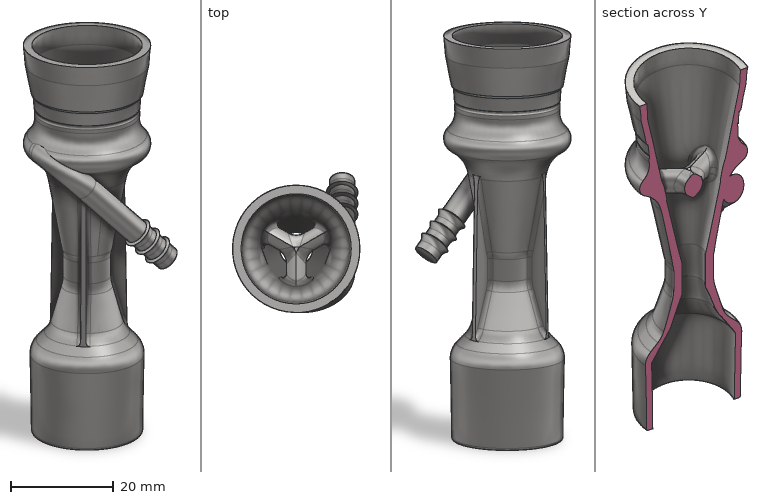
import cadquery as cq
import math

height = 80.98

socket_bottom_radius = 10.93
socket_top_radius = 11.2
socket_top_z = 16.3
socket_edge_fillet = 0.5
shoulder_radius = 4.2
shoulder_angle = math.radians(45)

neck_bottom_radius, neck_bottom_z = 8.36, 20.95
lower_cone_bottom_radius, lower_cone_bottom_z = 7.1, 23.17
lower_cone_top_radius, lower_cone_top_z = 5.0, 30.5
throat_radius = 4.7
throat_bottom_z, throat_top_z = 32.67, 37.06
upper_cone_bottom_radius, upper_cone_bottom_z = 4.95, 38.45
upper_cone_top_radius, upper_cone_top_z = 7.7, 53.4

collar_center_radius, collar_center_z = 10.0, 60.4
tube_radius = 2.5
collar_lower_angle = math.radians(-57)
collar_upper_angle = math.radians(46)

neck_radius, neck_top_z = 10.35, 66.3
groove_start_z, groove_bottom_z, groove_top_z = 67.1, 67.5, 67.9
groove_depth = 0.12
band_bottom_radius = 10.4
band_top_radius, band_top_z = 10.6, 70.6
cup_bottom_radius, cup_bottom_z = 11.0, 71.1
cup_middle_radius = 12.15
cup_top_radius = 12.5
mouth_depth = 3.93

mouth_top_radius, mouth_bottom_radius = 10.8, 10.6
wall = 1.5
bore_radius = throat_radius - wall
bore_top_z = upper_cone_bottom_z
bore_bottom_z = lower_cone_top_z
diffuser_end_radius = lower_cone_bottom_radius - wall
socket_bore_depth = socket_top_z
socket_bore_bottom_radius = socket_bottom_radius - wall
socket_bore_top_radius = socket_top_radius - wall

tolerance = 0.01

rib_count = 3
rib_thickness = 1.0
rib_top_radius, rib_top_z = 7.8, 55.0
rib_bottom_radius, rib_bottom_z = 8.45, 20.3
rib_first_angle = 90
rib_fillet = 0.9
plate_reach = 16.0

spoke_count = 3
spoke_half_width, spoke_half_height = 1.9, 3.0
spoke_z = 56.5
spoke_length = 7.7
spoke_first_angle = -90
spoke_junction_fillet = 3.2
spoke_root_fillet = 1.0

tube_offset_x = 9.0
tube_lead = 1.1
tube_slope = math.radians(45)
tube_tip_y = 13.19
barb_radius = 3.1
barb_count = 3
barb_pitch = 3.02
barb_first_peak = 3.05
barb_ramp_length = 1.45
barb_back_length = 0.3


def on_collar(angle):
    """Point of the collar's round section at an angle above its outward direction."""
    return (
        collar_center_radius + tube_radius * math.cos(angle),
        collar_center_z + tube_radius * math.sin(angle),
    )


def make_body():
    """Solid outside shape, turned about Z."""
    shoulder_center = socket_top_radius - shoulder_radius
    shoulder_middle = shoulder_angle / 2
    groove_radius = neck_radius - groove_depth
    collar_bottom = on_collar(collar_lower_angle)
    collar_top = on_collar(collar_upper_angle)

    profile = (
        cq.Workplane("XZ")
        .moveTo(0, 0)
        .lineTo(socket_bottom_radius - socket_edge_fillet, 0)
        .radiusArc((socket_bottom_radius, socket_edge_fillet), -socket_edge_fillet)
        .lineTo(socket_top_radius, socket_top_z)
        .threePointArc(
            (
                shoulder_center + shoulder_radius * math.cos(shoulder_middle),
                socket_top_z + shoulder_radius * math.sin(shoulder_middle),
            ),
            (
                shoulder_center + shoulder_radius * math.cos(shoulder_angle),
                socket_top_z + shoulder_radius * math.sin(shoulder_angle),
            ),
        )
        .lineTo(neck_bottom_radius, neck_bottom_z)
        .tangentArcPoint((lower_cone_bottom_radius, lower_cone_bottom_z), relative=False)
        .lineTo(lower_cone_top_radius, lower_cone_top_z)
        .tangentArcPoint((throat_radius, throat_bottom_z), relative=False)
        .lineTo(throat_radius, throat_top_z)
        .tangentArcPoint((upper_cone_bottom_radius, upper_cone_bottom_z), relative=False)
        .lineTo(upper_cone_top_radius, upper_cone_top_z)
        .tangentArcPoint(collar_bottom, relative=False)
        .threePointArc(on_collar(0), collar_top)
        .tangentArcPoint((neck_radius, neck_top_z), relative=False)
        .lineTo(neck_radius, groove_start_z)
        .lineTo(groove_radius, groove_bottom_z)
        .lineTo(groove_radius, groove_top_z)
        .lineTo(band_bottom_radius, groove_top_z)
        .lineTo(band_top_radius, band_top_z)
        .lineTo(cup_bottom_radius, cup_bottom_z)
        .lineTo(cup_middle_radius, height - mouth_depth)
        .lineTo(cup_top_radius, height)
        .lineTo(0, height)
        .close()
    )
    return profile.revolve(360, (0, 0, 0), (0, 1, 0))


def is_rib_root(edge):
    """True for an edge where the side of a plate meets the turned waist."""
    middle = edge.positionAt(0.5)
    if math.hypot(middle.x, middle.y) > collar_center_radius:
        return False
    if edge.BoundingBox().zlen < tolerance:
        return False
    for index in range(rib_count):
        angle = math.radians(rib_first_angle + index * 360 / rib_count)
        offset = abs(middle.y * math.cos(angle) - middle.x * math.sin(angle))
        outward = middle.x * math.cos(angle) + middle.y * math.sin(angle)
        if outward > 0 and abs(offset - rib_thickness / 2) < tolerance:
            return True
    return False


def make_ribs():
    """Thin plates standing radially on the waist, blended into it at both sides.

    Tall plates are blended first and then trimmed to the sloping rib edge.
    """
    waist_zone = (
        cq.Workplane("XY", origin=(0, 0, rib_bottom_z))
        .circle(plate_reach)
        .extrude(rib_top_z - rib_bottom_z)
    )
    waist = make_body().intersect(waist_zone)
    plate = (
        cq.Workplane("XY", origin=(0, 0, rib_bottom_z))
        .rect(plate_reach, rib_thickness, centered=(False, True))
        .extrude(rib_top_z - rib_bottom_z)
    )
    for index in range(rib_count):
        angle = rib_first_angle + index * 360 / rib_count
        waist = waist.union(plate.rotate((0, 0, 0), (0, 0, 1), angle))

    roots = [edge for edge in waist.edges().vals() if is_rib_root(edge)]
    blended = waist.newObject(roots).fillet(rib_fillet)
    rib_limit = (
        cq.Workplane("XZ")
        .moveTo(0, rib_bottom_z)
        .lineTo(rib_bottom_radius, rib_bottom_z)
        .lineTo(rib_top_radius, rib_top_z)
        .lineTo(0, rib_top_z)
        .close()
        .revolve(360, (0, 0, 0), (0, 1, 0))
    )
    return blended.intersect(rib_limit)


def make_tube():
    """Side tube: straight lead, bend, then a sloping run ending in a hose barb."""
    bend_radius = tube_offset_x - tube_lead
    start_y = -collar_center_radius
    run_length = (tube_tip_y - start_y) / math.cos(tube_slope)

    slope_plane = cq.Plane(
        origin=(0, start_y, collar_center_z),
        xDir=(1, 0, 0),
        normal=(0, math.sin(tube_slope), math.cos(tube_slope)),
    )
    half_bend = math.radians(90) / 2
    bend_middle = (
        tube_lead + bend_radius * math.sin(half_bend),
        bend_radius * (1 - math.cos(half_bend)),
    )
    path = (
        cq.Workplane(slope_plane)
        .moveTo(0, 0)
        .lineTo(tube_lead, 0)
        .threePointArc(bend_middle, (tube_offset_x, bend_radius))
        .lineTo(tube_offset_x, run_length)
    )
    tube = (
        cq.Workplane("YZ", origin=(0, start_y, collar_center_z))
        .circle(tube_radius)
        .sweep(path)
    )

    tip_plane = cq.Plane(
        origin=(tube_offset_x, tube_tip_y, collar_center_z - run_length * math.sin(tube_slope)),
        xDir=(1, 0, 0),
        normal=(0, -math.sin(tube_slope), -math.cos(tube_slope)),
    )
    barb_rise = barb_radius - tube_radius
    ramp_arc_radius = (barb_rise**2 + barb_ramp_length**2) / (2 * barb_rise)
    for index in range(barb_count):
        peak = barb_first_peak + index * barb_pitch
        ring = (
            cq.Workplane(tip_plane)
            .moveTo(0, peak - barb_ramp_length)
            .lineTo(tube_radius, peak - barb_ramp_length)
            .radiusArc((barb_radius, peak), ramp_arc_radius)
            .lineTo(tube_radius, peak + barb_back_length)
            .lineTo(0, peak + barb_back_length)
            .close()
            .revolve(360, (0, 0, 0), (0, 1, 0))
        )
        tube = tube.union(ring)
    return tube


def make_passage():
    """Inside space: mouth, funnel, throat, diffuser and socket bore."""
    profile = (
        cq.Workplane("XZ")
        .moveTo(0, 0)
        .lineTo(socket_bore_bottom_radius, 0)
        .lineTo(socket_bore_top_radius, socket_bore_depth)
        .lineTo(diffuser_end_radius, lower_cone_bottom_z)
        .lineTo(bore_radius, bore_bottom_z)
        .lineTo(bore_radius, bore_top_z)
        .lineTo(mouth_bottom_radius, height - mouth_depth)
        .lineTo(mouth_top_radius, height)
        .lineTo(0, height)
        .close()
    )
    return profile.revolve(360, (0, 0, 0), (0, 1, 0))


def make_spokes():
    """Spokes of upright pointed section meeting on the axis, blended into each other."""
    spokes = cq.Workplane()
    spoke = (
        cq.Workplane("YZ", origin=(0, 0, spoke_z))
        .moveTo(0, -spoke_half_height)
        .threePointArc((spoke_half_width, 0), (0, spoke_half_height))
        .threePointArc((-spoke_half_width, 0), (0, -spoke_half_height))
        .close()
        .extrude(spoke_length)
    )
    for index in range(spoke_count):
        angle = spoke_first_angle + index * 360 / spoke_count
        spokes = spokes.add(spoke.rotate((0, 0, 0), (0, 0, 1), angle))
    reach = spoke_length / 3
    junction = cq.selectors.BoxSelector(
        (-reach, -reach, spoke_z - 2 * spoke_half_height),
        (reach, reach, spoke_z + 2 * spoke_half_height),
        boundingbox=True,
    )
    return spokes.combine().edges(junction).fillet(spoke_junction_fillet)


def is_spoke_root(edge):
    """True for the curve along which a spoke meets the funnel wall."""
    box = edge.BoundingBox()
    middle = edge.positionAt(0.5)
    return (
        box.zmin > spoke_z - spoke_half_height - tolerance
        and box.zmax < spoke_z + spoke_half_height + tolerance
        and box.zlen > spoke_half_height
        and spoke_length / 2 < math.hypot(middle.x, middle.y) < spoke_length
        and edge.geomType() == "BSPLINE"
    )


body = make_body().union(make_ribs()).union(make_tube())
hollow = body.cut(make_passage()).union(make_spokes())
spoke_roots = [edge for edge in hollow.edges().vals() if is_spoke_root(edge)]
result = hollow.newObject(spoke_roots).fillet(spoke_root_fillet)